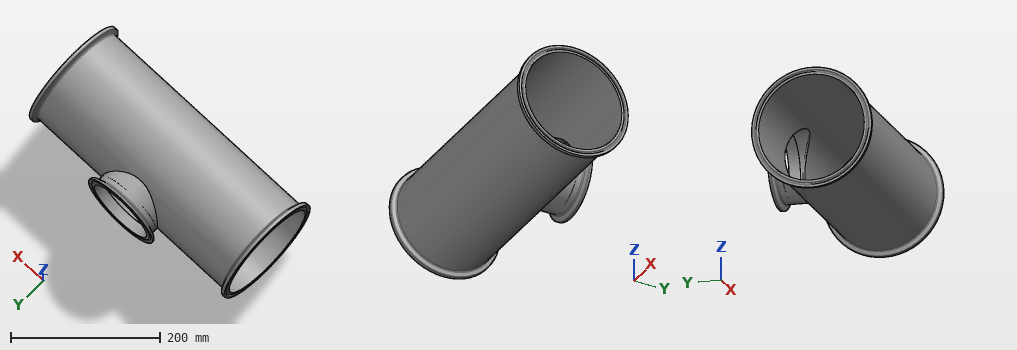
import cadquery as cq
import math

run_length = 362.0
run_outer_diameter = 152.5
run_bore = 147.0
run_flange_diameter = 167.0
run_lip_thickness = 5.8

overall_width = 178.8
branch_face_y = overall_width - run_flange_diameter / 2
branch_outer_diameter = 101.7
branch_ferrule_bore = 97.5
branch_ferrule_length = 16.0
branch_collar_bore = 98.5
branch_flange_diameter = 119.0
branch_lip_thickness = 4.0

rim_radius = 1.0
taper_angle = 20.0
neck_radius = 1.8
groove_width = 3.5
groove_depth = 1.5
groove_lip_radius = 0.9
groove_inset = 5.0


def flange(rim_diameter, pipe_diameter, lip_thickness):
    """Solid clamp flange with its sealing face at Z = 0 and its tapered back toward +Z."""
    rim = rim_diameter / 2
    pipe = pipe_diameter / 2
    taper = math.radians(taper_angle)

    rim_center = (rim - rim_radius, lip_thickness - rim_radius)
    taper_start = (
        rim_center[0] + rim_radius * math.sin(taper),
        rim_center[1] + rim_radius * math.cos(taper),
    )
    taper_end_r = pipe + neck_radius * (1 - math.sin(taper))
    taper_end = (taper_end_r, taper_start[1] + (taper_start[0] - taper_end_r) * math.tan(taper))
    neck_end = (pipe, taper_end[1] + neck_radius * math.cos(taper))

    mid_angle = (math.pi / 2 - taper) / 2
    rim_mid = (
        rim_center[0] + rim_radius * math.cos(mid_angle),
        rim_center[1] + rim_radius * math.sin(mid_angle),
    )
    neck_mid = (
        pipe + neck_radius * (1 - math.cos(mid_angle)),
        neck_end[1] - neck_radius * math.sin(mid_angle),
    )

    return (
        cq.Workplane("XZ")
        .lineTo(rim, 0)
        .lineTo(rim, rim_center[1])
        .threePointArc(rim_mid, taper_start)
        .lineTo(*taper_end)
        .threePointArc(neck_mid, neck_end)
        .lineTo(0, neck_end[1])
        .close()
        .revolve(360, (0, 0), (0, 1))
    )


def gasket_groove(rim_diameter):
    """Ring that cuts the sealing face at Z = 0: a round bottom blended into rounded lips."""
    middle = rim_diameter / 2 - groove_inset
    half_width = groove_width / 2

    bottom_radius = (half_width**2 + groove_depth**2) / (2 * groove_depth) - groove_lip_radius
    bottom_center_z = groove_depth - bottom_radius
    blend_angle = math.atan2(half_width, groove_lip_radius - bottom_center_z)
    blend_offset = bottom_radius * math.sin(blend_angle)
    blend_z = bottom_center_z + bottom_radius * math.cos(blend_angle)
    lip_mid_offset = half_width - groove_lip_radius * math.sin(blend_angle / 2)
    lip_mid_z = groove_lip_radius * (1 - math.cos(blend_angle / 2))

    return (
        cq.Workplane("XZ")
        .moveTo(middle - half_width, 0)
        .threePointArc((middle - lip_mid_offset, lip_mid_z), (middle - blend_offset, blend_z))
        .threePointArc((middle, groove_depth), (middle + blend_offset, blend_z))
        .threePointArc((middle + lip_mid_offset, lip_mid_z), (middle + half_width, 0))
        .close()
        .revolve(360, (0, 0), (0, 1))
    )


def at_left_end(shape):
    """Move a shape from Z = 0 to the -X end, with its +Z turned to +X."""
    return shape.rotate((0, 0, 0), (0, 1, 0), 90).translate((-run_length / 2, 0, 0))


def at_right_end(shape):
    """Move a shape from Z = 0 to the +X end, with its +Z turned to -X."""
    return at_left_end(shape).mirror("YZ")


def at_branch_face(shape):
    """Move a shape from Z = 0 to the branch face, with its +Z turned to -Y."""
    return shape.rotate((0, 0, 0), (1, 0, 0), 90).translate((0, branch_face_y, 0))


def cylinder(diameter, length):
    """Cylinder from Z = 0 toward +Z."""
    return cq.Workplane("XY").circle(diameter / 2).extrude(length)


run_flange = flange(run_flange_diameter, run_outer_diameter, run_lip_thickness)
branch_flange = flange(branch_flange_diameter, branch_outer_diameter, branch_lip_thickness)
body = (
    at_left_end(cylinder(run_outer_diameter, run_length))
    .union(at_left_end(run_flange))
    .union(at_right_end(run_flange))
    .union(at_branch_face(cylinder(branch_outer_diameter, branch_face_y)))
    .union(at_branch_face(branch_flange))
)

collar_length = branch_face_y - branch_ferrule_length
branch_collar = cylinder(branch_collar_bore, collar_length).translate((0, 0, branch_ferrule_length))
body = (
    body.cut(at_left_end(cylinder(run_bore, run_length)))
    .cut(at_branch_face(cylinder(branch_ferrule_bore, branch_face_y)))
    .cut(at_branch_face(branch_collar))
)

run_groove = gasket_groove(run_flange_diameter)
result = (
    body.cut(at_left_end(run_groove))
    .cut(at_right_end(run_groove))
    .cut(at_branch_face(gasket_groove(branch_flange_diameter)))
)